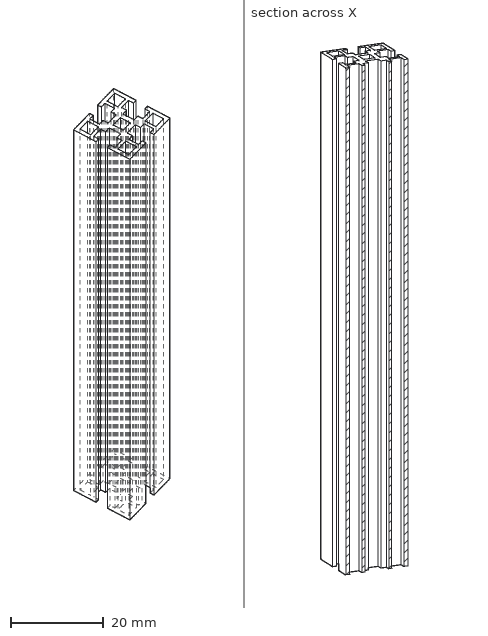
import cadquery as cq

length = 115.0
side = 15.0
skin = 1.0
mouth_width = 3.0
cavity_width = 5.6
cavity_bottom = 3.9
slot_floor = 2.5
core_hole = 2.6
corner_hole_wall = 0.8

half_side = side / 2
cavity_top = half_side - skin
corner_hole_inner = cavity_width / 2 + corner_hole_wall
corner_hole = cavity_top - corner_hole_inner
corner_hole_offset = (cavity_top + corner_hole_inner) / 2


def bar(width, x_start, x_end):
    """Full-length cutting bar, centred on the X axis, between two X positions."""
    return (
        cq.Workplane("XY")
        .center((x_start + x_end) / 2, 0)
        .rect(x_end - x_start, width)
        .extrude(length)
    )


def slot(angle):
    """Stepped T-slot, turned about the profile axis."""
    mouth = bar(mouth_width, slot_floor, half_side)
    cavity = bar(cavity_width, cavity_bottom, cavity_top)
    return mouth.union(cavity).rotate((0, 0, 0), (0, 0, 1), angle)


result = cq.Workplane("XY").rect(side, side).extrude(length)
for angle in (0, 90, 180, 270):
    result = result.cut(slot(angle))

result = result.cut(cq.Workplane("XY").rect(core_hole, core_hole).extrude(length))

corner_holes = (
    cq.Workplane("XY")
    .rect(2 * corner_hole_offset, 2 * corner_hole_offset, forConstruction=True)
    .vertices()
    .rect(corner_hole, corner_hole)
    .extrude(length)
)
result = result.cut(corner_holes)